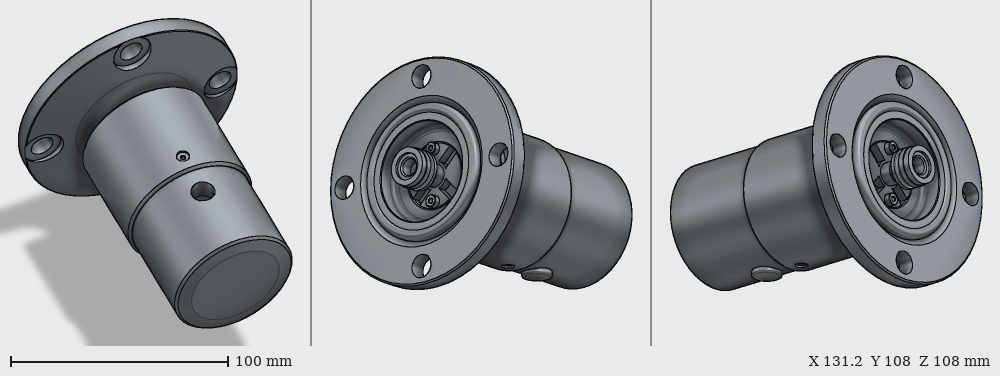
import cadquery as cq
import math


FLANGE_DIA = 108.0
FLANGE_FRONT = 10.8
FLANGE_RIM_BACK = 19.4
FLANGE_CHAMFER = 0.8
RIM_BACK_CHAMFER = 0.4
CONE_ROOT_X = 22.7
CONE_ROOT_RADIUS = 29.8
NECK_SWEEP_RADIUS = 13.5

BOLT_COUNT = 4
BOLT_CIRCLE_RADIUS = 45.3
BOLT_HOLE_DIA = 11.0
SPOTFACE_DIA = 19.0
SPOTFACE_X = 18.9

GROOVE_RADIUS = 35.7
BEAD_OUTER_RADIUS = 32.4
BEAD_INNER_RADIUS = 27.8
BEAD_CROWN_RADIUS = 29.8
BEAD_PROUD = 0.9
GROOVE_DEPTH = 3.1

BORE_RADIUS = 23.9
BORE_CHAMFER = 0.4
BORE_FLOOR_X = 20.6
BORE_FILLET = 2.9

HOUSING_FRONT = 32.3
HOUSING_STEP_X = 83.4
HOUSING_LARGE_DIA = 63.0
HOUSING_LARGE_CHAMFER = 1.3
HOUSING_SMALL_DIA = 59.8
HOUSING_BACK = 130.1
HOUSING_BACK_CHAMFER = 1.2
END_FACE_DIA = 44.6
END_FACE_X = 131.2

SET_SCREW_X = 74.8
SET_SCREW_DIA = 6.0
SET_SCREW_SOCKET_DIA = 2.5
SET_SCREW_SINK = 1.0
SET_SCREW_SOCKET_DEPTH = 1.3
PORT_X = 96.3
PORT_DIA = 11.0
PORT_FLOOR_DIA = 8.0
PORT_DEPTH = 11.8
PLUG_DIA = 14.0
PLUG_REACH = 31.9
PLUG_EDGE_FILLET = 0.8

DISC_DIA = 31.0
DISC_THICKNESS = 7.9
SEAT_MOUTH_DIA = 32.3
TUBE_DIA = 11.0
TUBE_FRONT = 14.4
TUBE_CHAMFER = 0.5
THIN_TUBE_DIA = 10.0
NOSE_DIA = 18.2
COLLAR_DIA = 19.0
NOSE_NECK_DIA = 14.7
NOSE_LENGTH = 3.0
COLLAR_BACK = 5.8
REAR_COLLAR_FRONT = 8.5
REAR_COLLAR_BACK = 10.5
REAR_COLLAR_FILLET = 1.2
NOSE_MOUTH_DIA = 12.9
NOSE_MOUTH_DEPTH = 1.3
NOSE_BORE_MOUTH_DIA = 9.5
NOSE_BORE_DIA = 8.0
NOSE_BORE_DEPTH = 7.9

SLOT_COUNT = 4
FIRST_SLOT_ANGLE = 45
SLOT_WIDTH = 5.6
SLOT_INNER_RADIUS = 6.8
SLOT_DEPTH = 4.5
SCREW_RADIUS = 12.6
SCREW_HEAD_DIA = 5.8
SCREW_HEAD_HEIGHT = 3.1
SCREW_HEAD_CHAMFER = 0.3
SCREW_SOCKET_DIA = 2.5
SCREW_SOCKET_DEPTH = 0.7

SOCKET_TIP_HALF_ANGLE = 59


def revolve_about_x(profile):
    """Full turn about the X axis of a profile drawn as (x, radius)."""
    return profile.close().revolve(360, (0, 0, 0), (1, 0, 0))


def rod(dia, x_start, x_end, y=0.0, z=0.0):
    """Cylinder along X from x_start to x_end, centred at (y, z)."""
    return cq.Workplane("YZ", origin=(x_start, 0, 0)).center(y, z).circle(dia / 2).extrude(x_end - x_start)


def post(dia, x, z_start, z_end):
    """Cylinder along Z from z_start to z_end, centred at (x, 0)."""
    return cq.Workplane("XY", origin=(x, 0, z_start)).circle(dia / 2).extrude(z_end - z_start)


def cone(dia_start, dia_end, x_start, x_end):
    """Cone frustum along X, centred on the axis."""
    length = x_end - x_start
    frustum = cq.Solid.makeCone(
        dia_start / 2, dia_end / 2, length, cq.Vector(x_start, 0, 0), cq.Vector(1, 0, 0)
    )
    return cq.Workplane(frustum)


def screw_socket(dia, depth, mouth, direction):
    """Round socket with a conical tip, sunk from the mouth point along a unit direction."""
    start = cq.Vector(*mouth)
    axis = cq.Vector(*direction)
    tip_length = dia / 2 / math.tan(math.radians(SOCKET_TIP_HALF_ANGLE))
    barrel = cq.Solid.makeCylinder(dia / 2, depth, start, axis)
    tip = cq.Solid.makeCone(dia / 2, 0, tip_length, start + axis * depth, axis)
    return cq.Workplane(barrel).union(cq.Workplane(tip))


def flange_blank():
    """Disc with a shallow cone behind it that sweeps tangentially into the neck."""
    rim = FLANGE_DIA / 2
    rim_back_radius = rim - RIM_BACK_CHAMFER
    cone_tilt = math.atan2(CONE_ROOT_X - FLANGE_RIM_BACK, rim_back_radius - CONE_ROOT_RADIUS)
    sweep_x = CONE_ROOT_X + NECK_SWEEP_RADIUS * math.cos(cone_tilt)
    sweep_r = CONE_ROOT_RADIUS + NECK_SWEEP_RADIUS * math.sin(cone_tilt)
    end_angle = math.acos((sweep_x - HOUSING_FRONT) / NECK_SWEEP_RADIUS)
    mid_angle = (cone_tilt + end_angle) / 2

    def sweep_point(angle):
        return (
            sweep_x - NECK_SWEEP_RADIUS * math.cos(angle),
            sweep_r - NECK_SWEEP_RADIUS * math.sin(angle),
        )

    return revolve_about_x(
        cq.Workplane("XY")
        .moveTo(FLANGE_FRONT, 0)
        .lineTo(FLANGE_FRONT, rim - FLANGE_CHAMFER)
        .lineTo(FLANGE_FRONT + FLANGE_CHAMFER, rim)
        .lineTo(FLANGE_RIM_BACK - RIM_BACK_CHAMFER, rim)
        .lineTo(FLANGE_RIM_BACK, rim_back_radius)
        .lineTo(CONE_ROOT_X, CONE_ROOT_RADIUS)
        .threePointArc(sweep_point(mid_angle), sweep_point(end_angle))
        .lineTo(HOUSING_FRONT, 0)
    )


def seal_groove():
    """Conical groove that surrounds the bead."""
    floor_x = FLANGE_FRONT + GROOVE_DEPTH
    return revolve_about_x(
        cq.Workplane("XY")
        .moveTo(FLANGE_FRONT, GROOVE_RADIUS)
        .lineTo(floor_x, BEAD_OUTER_RADIUS)
        .lineTo(floor_x, BEAD_INNER_RADIUS)
        .lineTo(FLANGE_FRONT, BEAD_INNER_RADIUS)
    )


def seal_bead():
    """Round-topped ring that stands slightly proud of the flange face."""
    floor_x = FLANGE_FRONT + GROOVE_DEPTH
    crown = (FLANGE_FRONT - BEAD_PROUD, BEAD_CROWN_RADIUS)
    return revolve_about_x(
        cq.Workplane("XY")
        .moveTo(floor_x, BEAD_OUTER_RADIUS)
        .threePointArc(crown, (FLANGE_FRONT, BEAD_INNER_RADIUS))
        .lineTo(floor_x, BEAD_INNER_RADIUS)
    )


def flange_bore():
    """Chamfered bore with a rounded floor corner and the seat for the connector disc."""
    fillet_start = BORE_FLOOR_X - BORE_FILLET
    fillet_mid = (
        fillet_start + BORE_FILLET * math.sin(math.pi / 4),
        BORE_RADIUS - BORE_FILLET * (1 - math.cos(math.pi / 4)),
    )
    bore = revolve_about_x(
        cq.Workplane("XY")
        .moveTo(FLANGE_FRONT, 0)
        .lineTo(FLANGE_FRONT, BORE_RADIUS + BORE_CHAMFER)
        .lineTo(FLANGE_FRONT + BORE_CHAMFER, BORE_RADIUS)
        .lineTo(fillet_start, BORE_RADIUS)
        .threePointArc(fillet_mid, (BORE_FLOOR_X, BORE_RADIUS - BORE_FILLET))
        .lineTo(BORE_FLOOR_X, 0)
    )
    seat_chamfer = (SEAT_MOUTH_DIA - DISC_DIA) / 2
    seat_mouth = cone(SEAT_MOUTH_DIA, DISC_DIA, BORE_FLOOR_X, BORE_FLOOR_X + seat_chamfer)
    seat = rod(DISC_DIA, BORE_FLOOR_X, BORE_FLOOR_X + DISC_THICKNESS)
    return bore.union(seat_mouth).union(seat)


def make_flange():
    flange = flange_blank().cut(seal_groove()).union(seal_bead()).cut(flange_bore())
    for i in range(BOLT_COUNT):
        angle = 2 * math.pi * i / BOLT_COUNT
        y = BOLT_CIRCLE_RADIUS * math.cos(angle)
        z = BOLT_CIRCLE_RADIUS * math.sin(angle)
        flange = flange.cut(rod(BOLT_HOLE_DIA, 0, HOUSING_FRONT, y, z))
        flange = flange.cut(rod(SPOTFACE_DIA, SPOTFACE_X, HOUSING_FRONT, y, z))
    return flange


def housing_blank():
    """Large and small cylinders, closed by a shallow cone at the back."""
    large_radius = HOUSING_LARGE_DIA / 2
    small_radius = HOUSING_SMALL_DIA / 2
    return revolve_about_x(
        cq.Workplane("XY")
        .moveTo(HOUSING_FRONT, 0)
        .lineTo(HOUSING_FRONT, large_radius - HOUSING_LARGE_CHAMFER)
        .lineTo(HOUSING_FRONT + HOUSING_LARGE_CHAMFER, large_radius)
        .lineTo(HOUSING_STEP_X - HOUSING_LARGE_CHAMFER, large_radius)
        .lineTo(HOUSING_STEP_X, large_radius - HOUSING_LARGE_CHAMFER)
        .lineTo(HOUSING_STEP_X, small_radius)
        .lineTo(HOUSING_BACK - HOUSING_BACK_CHAMFER, small_radius)
        .lineTo(HOUSING_BACK, small_radius - HOUSING_BACK_CHAMFER)
        .lineTo(END_FACE_X, END_FACE_DIA / 2)
        .lineTo(END_FACE_X, 0)
    )


def set_screw_recess(side):
    """Round recess with a driver socket, on top (side = 1) or below (side = -1)."""
    surface_z = HOUSING_LARGE_DIA / 2
    head_z = surface_z - SET_SCREW_SINK
    recess = post(SET_SCREW_DIA, SET_SCREW_X, side * head_z, side * surface_z)
    socket = screw_socket(
        SET_SCREW_SOCKET_DIA, SET_SCREW_SOCKET_DEPTH, (SET_SCREW_X, 0, side * head_z), (0, 0, -side)
    )
    return recess.union(socket)


def air_port():
    """Blind port in the top of the small cylinder, with a conical edge around its flat floor."""
    surface_z = HOUSING_SMALL_DIA / 2
    port = post(PORT_DIA, PORT_X, surface_z - PORT_DEPTH, surface_z)
    return port.faces("<Z").edges().chamfer((PORT_DIA - PORT_FLOOR_DIA) / 2)


def port_plug():
    """Round-edged plug boss on the underside, opposite the port."""
    plug = post(PLUG_DIA, PORT_X, -PLUG_REACH, -HOUSING_SMALL_DIA / 4)
    return plug.faces("<Z").edges().fillet(PLUG_EDGE_FILLET)


def make_housing():
    housing = housing_blank().union(port_plug()).cut(air_port())
    for side in (1, -1):
        housing = housing.cut(set_screw_recess(side))
    return housing


def nose():
    """Collared plug nose with its stepped blind bore."""
    mouth_chamfer = (NOSE_BORE_MOUTH_DIA - NOSE_BORE_DIA) / 2
    fillet_start = REAR_COLLAR_FRONT - REAR_COLLAR_FILLET
    neck_radius = NOSE_NECK_DIA / 2
    fillet_mid = (
        fillet_start + REAR_COLLAR_FILLET * math.sin(math.pi / 4),
        neck_radius + REAR_COLLAR_FILLET * (1 - math.cos(math.pi / 4)),
    )
    outside = revolve_about_x(
        cq.Workplane("XY")
        .lineTo(0, NOSE_DIA / 2)
        .lineTo(NOSE_LENGTH, NOSE_DIA / 2)
        .lineTo(NOSE_LENGTH, COLLAR_DIA / 2)
        .lineTo(COLLAR_BACK, COLLAR_DIA / 2)
        .lineTo(COLLAR_BACK, neck_radius)
        .lineTo(fillet_start, neck_radius)
        .threePointArc(fillet_mid, (REAR_COLLAR_FRONT, neck_radius + REAR_COLLAR_FILLET))
        .lineTo(REAR_COLLAR_FRONT, COLLAR_DIA / 2)
        .lineTo(REAR_COLLAR_BACK, COLLAR_DIA / 2)
        .lineTo(REAR_COLLAR_BACK, 0)
    )
    return (
        outside.cut(rod(NOSE_MOUTH_DIA, 0, NOSE_MOUTH_DEPTH))
        .cut(cone(NOSE_BORE_MOUTH_DIA, NOSE_BORE_DIA, NOSE_MOUTH_DEPTH, NOSE_MOUTH_DEPTH + mouth_chamfer))
        .cut(rod(NOSE_BORE_DIA, 0, NOSE_BORE_DEPTH))
    )


def disc_slots():
    """Radial slots of the disc, open at its rim and ending on a round hub."""
    slots = cq.Workplane("XY")
    for i in range(SLOT_COUNT):
        slots = slots.union(
            cq.Workplane("XY")
            .box(SLOT_DEPTH, DISC_DIA, SLOT_WIDTH, centered=(False, False, True))
            .translate((BORE_FLOOR_X, 0, 0))
            .rotate((0, 0, 0), (1, 0, 0), FIRST_SLOT_ANGLE + i * 360 / SLOT_COUNT)
        )
    return slots.cut(rod(2 * SLOT_INNER_RADIUS, BORE_FLOOR_X, BORE_FLOOR_X + SLOT_DEPTH))


def make_connector():
    disc = rod(DISC_DIA, BORE_FLOOR_X, BORE_FLOOR_X + DISC_THICKNESS).cut(disc_slots())
    tube = rod(TUBE_DIA, TUBE_FRONT, BORE_FLOOR_X).faces("<X").edges().chamfer(TUBE_CHAMFER)
    thin_tube = rod(THIN_TUBE_DIA, REAR_COLLAR_BACK, TUBE_FRONT)
    connector = disc.union(tube).union(thin_tube).union(nose())
    head_x = BORE_FLOOR_X - SCREW_HEAD_HEIGHT
    for z in (SCREW_RADIUS, -SCREW_RADIUS):
        head = rod(SCREW_HEAD_DIA, head_x, BORE_FLOOR_X, 0, z).faces("<X").edges().chamfer(SCREW_HEAD_CHAMFER)
        socket = screw_socket(SCREW_SOCKET_DIA, SCREW_SOCKET_DEPTH, (head_x, 0, z), (1, 0, 0))
        connector = connector.union(head).cut(socket)
    return connector


flange = make_flange()
housing = make_housing()
connector = make_connector()

result = cq.Compound.makeCompound([flange.val(), housing.val(), connector.val()])